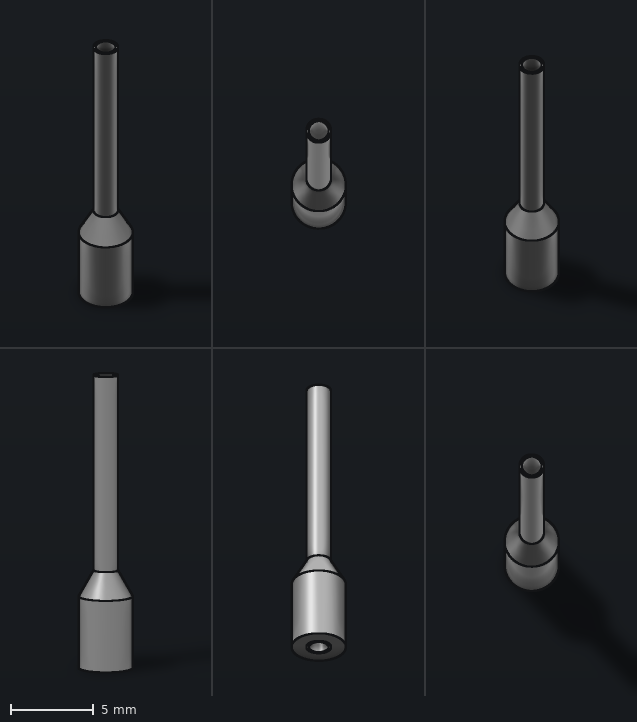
import cadquery as cq

total_length = 18.0
tube_diameter = 1.5
bore_diameter = 1.2
collar_diameter = 3.3
collar_straight_length = 4.41
collar_taper_length = 1.6

collar_length = collar_straight_length + collar_taper_length


def make_tube():
    """Straight tube with a through bore, running the full length of the part."""
    return (
        cq.Workplane("XY")
        .circle(tube_diameter / 2)
        .circle(bore_diameter / 2)
        .extrude(total_length)
    )


def make_collar():
    """Cylindrical collar that tapers up to the tube and fits closely around it."""
    return (
        cq.Workplane("XZ")
        .moveTo(tube_diameter / 2, 0)
        .lineTo(collar_diameter / 2, 0)
        .lineTo(collar_diameter / 2, collar_straight_length)
        .lineTo(tube_diameter / 2, collar_length)
        .close()
        .revolve(360, (0, 0, 0), (0, 1, 0))
    )


tube = make_tube()
collar = make_collar()

result = cq.Compound.makeCompound([tube.val(), collar.val()])